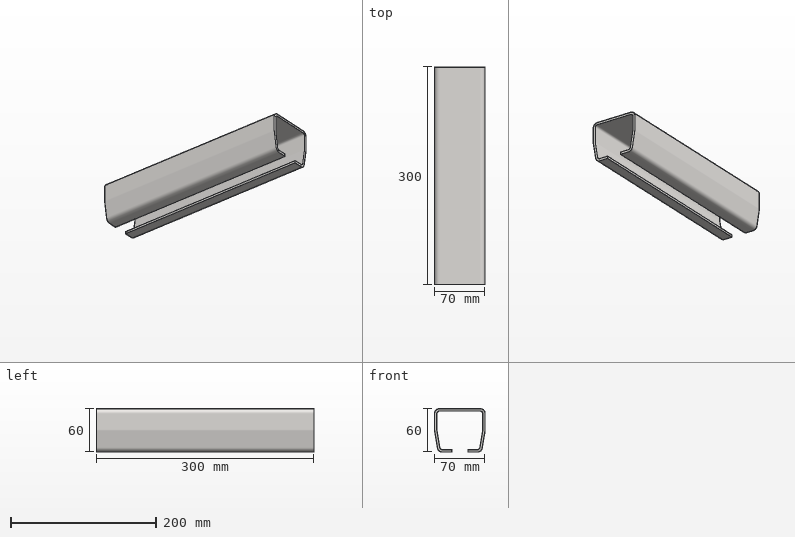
import cadquery as cq
import math

WIDTH = 70.0
LENGTH = 300.0
HEIGHT = 60.0

THICKNESS = 3.5
OUTER_RADIUS = 7.0
SLOT_WIDTH = 22.0
BEND_DEPTH = 30.0
BOTTOM_WIDTH = 60.0

INNER_RADIUS = OUTER_RADIUS - THICKNESS
HALF_HEIGHT = HEIGHT / 2
TAPER_ANGLE = math.atan2((WIDTH - BOTTOM_WIDTH) / 2, HEIGHT - BEND_DEPTH)


def half_section_corners(inset):
    """Sharp-cornered right half of the section, offset inward by inset: shoulder, bend, foot."""
    side_x = WIDTH / 2 - inset
    bend_z = HALF_HEIGHT - BEND_DEPTH + inset * math.tan(TAPER_ANGLE / 2)
    foot_z = -HALF_HEIGHT + inset
    foot_x = side_x - (bend_z - foot_z) * math.tan(TAPER_ANGLE)
    shoulder = (side_x, HALF_HEIGHT - inset)
    return [shoulder, (side_x, bend_z), (foot_x, foot_z)]


def section_prism(inset, corner_radius, bend_radius):
    """Closed tube outline, extruded along the rail, with rounded corners and side bends."""
    right = half_section_corners(inset)
    left = [(-x, z) for x, z in reversed(right)]
    prism = cq.Workplane("XZ").polyline(right + left).close().extrude(LENGTH / 2, both=True)
    bend_z = right[1][1]
    side_bends = cq.selectors.BoxSelector(
        (-WIDTH, -LENGTH, bend_z - THICKNESS), (WIDTH, LENGTH, bend_z + THICKNESS)
    )
    prism = prism.edges("|Y").edges(side_bends).fillet(bend_radius)
    return prism.edges("|Y and (>Z or <Z)").fillet(corner_radius)


def lip_slot():
    """Cutter for the opening between the two bottom lips."""
    return (
        cq.Workplane("XY")
        .box(SLOT_WIDTH, LENGTH, 2 * THICKNESS)
        .translate((0, 0, -HALF_HEIGHT))
    )


outer = section_prism(0, OUTER_RADIUS, OUTER_RADIUS)
inner = section_prism(THICKNESS, INNER_RADIUS, INNER_RADIUS)
result = outer.cut(inner).cut(lip_slot())